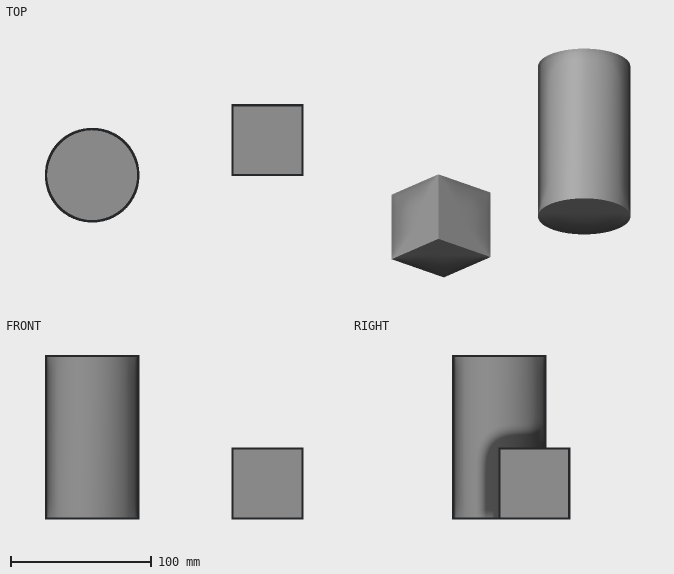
import cadquery as cq

cylinder_diameter = 66.0
cylinder_height = 116.0
cube_side = 50.0
cube_offset_x = 100.0


def make_cylinder():
    """Upright plain cylinder centred on the origin."""
    return cq.Workplane("XY").circle(cylinder_diameter / 2).extrude(cylinder_height)


def make_cube():
    """Cube beside the cylinder, with its front face in line with the cylinder axis."""
    cube = cq.Workplane("XY").box(cube_side, cube_side, cube_side, centered=False)
    return cube.translate((cube_offset_x, 0, 0))


cylinder = make_cylinder()
cube = make_cube()

result = cq.Compound.makeCompound([cylinder.val(), cube.val()])